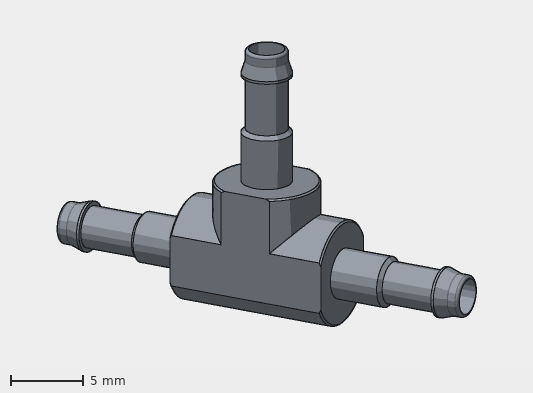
import cadquery as cq

arm_reach = 15.6
body_half_length = 5.85
body_radius = 3.75
body_width = 6.5
edge_chamfer = 0.12

bore_radius = 2.5 / 2
tube_radius = 3.0 / 2
collar_radius = 3.6 / 2
collar_end = 9.75
collar_chamfer = 0.28
barb_length = 1.95
tip_length = 0.8
tip_rounding = 0.22
barb_land = 0.2

branch_angles = (-90, 0, 90)
run_angles = (-90, 90)


def tilt(solid, angle):
    return solid.rotate((0, 0, 0), (0, 1, 0), angle)


def body_leg():
    """Round leg from the tee centre to one chamfered end face."""
    return (
        cq.Workplane("XY")
        .circle(body_radius)
        .extrude(body_half_length)
        .faces(">Z")
        .chamfer(edge_chamfer)
    )


def hose_arm():
    """Collar, tube and barb, revolved about the Z axis."""
    barb_back = arm_reach - barb_length
    return (
        cq.Workplane("XZ")
        .moveTo(0, 0)
        .lineTo(collar_radius, 0)
        .lineTo(collar_radius, collar_end - collar_chamfer)
        .lineTo(tube_radius, collar_end)
        .lineTo(tube_radius, barb_back)
        .lineTo(collar_radius, barb_back)
        .lineTo(collar_radius, barb_back + barb_land)
        .lineTo(tube_radius, arm_reach - tip_length)
        .lineTo(tube_radius, arm_reach)
        .lineTo(0, arm_reach)
        .close()
        .revolve(360, (0, 0, 0), (0, 1, 0))
        .faces(">Z")
        .edges()
        .fillet(tip_rounding)
    )


body = tilt(body_leg(), run_angles[0])
body = body.union(tilt(body_leg(), run_angles[1]))
body = body.union(body_leg())

flat_trim = cq.Workplane("XY").box(2 * arm_reach, body_width, 2 * arm_reach)
body = body.intersect(flat_trim)

result = body
for angle in branch_angles:
    result = result.union(tilt(hose_arm(), angle))
bore = cq.Workplane("XY").circle(bore_radius).extrude(arm_reach)
for angle in branch_angles:
    result = result.cut(tilt(bore, angle))